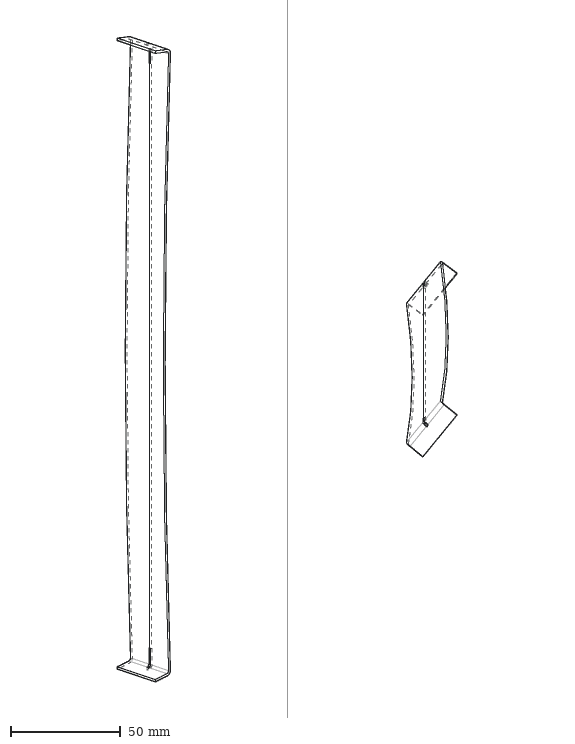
import cadquery as cq
import math

height = 304.0
width = 25.0
depth = 9.7

thickness = 1.2
inner_radius = 1.2
flange_tilt = math.radians(8)

bow = 3.3

slit_width = 1.0
slit_length = 7.5

back_y = depth / 2
front_y = -depth / 2
inner_y = back_y - thickness
outer_radius = inner_radius + thickness
bend_y = back_y - outer_radius

along_y = -math.cos(flange_tilt)
along_z = math.sin(flange_tilt)
normal_y = math.sin(flange_tilt)
normal_z = math.cos(flange_tilt)
inner_bend_y = bend_y + inner_radius * normal_y
flange_length = (inner_bend_y - front_y) / math.cos(flange_tilt)
bend_z = height / 2 - outer_radius * normal_z - flange_length * along_z


def bend_point(radius, angle):
    return (bend_y + radius * math.cos(angle), bend_z + radius * math.sin(angle))


def flange_end():
    """Top flange and its bend, ending where the web starts."""
    end_angle = math.pi / 2 - flange_tilt
    inner_end = bend_point(inner_radius, end_angle)
    outer_end = bend_point(outer_radius, end_angle)
    reach_y = flange_length * along_y
    reach_z = flange_length * along_z
    return (
        cq.Workplane("YZ", origin=(-width / 2, 0, 0))
        .moveTo(inner_y, bend_z)
        .lineTo(back_y, bend_z)
        .threePointArc(bend_point(outer_radius, end_angle / 2), outer_end)
        .lineTo(outer_end[0] + reach_y, outer_end[1] + reach_z)
        .lineTo(inner_end[0] + reach_y, inner_end[1] + reach_z)
        .lineTo(*inner_end)
        .threePointArc(bend_point(inner_radius, end_angle / 2), (inner_y, bend_z))
        .close()
        .extrude(width)
    )


def edge_arc(x, y):
    """Side edge of the web, bowed forward between its two ends."""
    return cq.Edge.makeThreePointArc(
        cq.Vector(x, y, -bend_z),
        cq.Vector(x, y - bow, 0),
        cq.Vector(x, y, bend_z),
    )


def crease_line(y):
    return cq.Edge.makeLine(cq.Vector(0, y, -bend_z), cq.Vector(0, y, bend_z))


def web_half(x):
    """Half of the web, ruled from the straight crease to the bowed edge at x."""
    back = cq.Face.makeRuledSurface(crease_line(back_y), edge_arc(x, back_y))
    front = cq.Face.makeRuledSurface(crease_line(inner_y), edge_arc(x, inner_y))
    side = cq.Face.makeRuledSurface(edge_arc(x, back_y), edge_arc(x, inner_y))
    middle = cq.Face.makeRuledSurface(crease_line(back_y), crease_line(inner_y))
    ends = []
    for z in (-bend_z, bend_z):
        back_end = cq.Edge.makeLine(cq.Vector(0, back_y, z), cq.Vector(x, back_y, z))
        front_end = cq.Edge.makeLine(cq.Vector(0, inner_y, z), cq.Vector(x, inner_y, z))
        ends.append(cq.Face.makeRuledSurface(back_end, front_end))
    shell = cq.Shell.makeShell([back, front, side, middle] + ends)
    return cq.Workplane(cq.Solid.makeSolid(shell).fix())


def end_slit():
    """Cutter for the slit running through the top bend and down into the web."""
    return cq.Workplane("XY").box(
        slit_width, outer_radius, slit_length + outer_radius, centered=(True, False, False)
    ).translate((0, bend_y, bend_z - slit_length))


top_end = flange_end()
top_slit = end_slit()
result = (
    web_half(width / 2)
    .union(web_half(-width / 2))
    .union(top_end)
    .union(top_end.mirror("XY"))
    .cut(top_slit)
    .cut(top_slit.mirror("XY"))
)